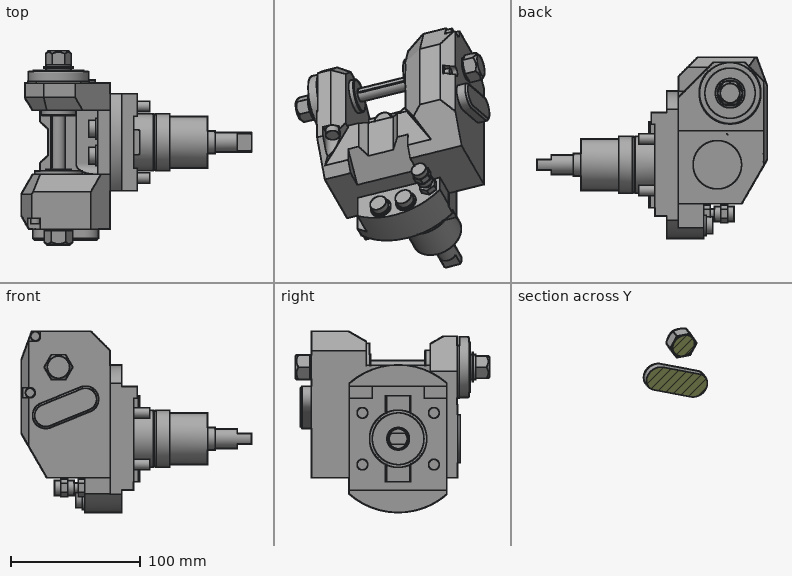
import cadquery as cq
import math


gap_half = 24.5
floor_z = -30.0
bevel_angle = 30.0
bevel_slope = math.tan(math.radians(bevel_angle))
heel_x = -49.0
heel_slope = math.tan(math.radians(60))
mask_reach = 142.4

near_outer = 67.0
near_front = -68.7
near_top = 83.0
near_brow_z = 60.7
near_crown_x = -60.5
near_back_chamfer = 15.0
near_bevel_start = 40.0
near_top_bevel_start = 38.3
near_edge_bevel = 10.3

far_outer = 45.4
far_front = -65.9
far_top = 79.0
far_front_chamfer = 14.6
far_back_run = 27.0
far_bevel_start = 34.7
far_pad_top = 26.3
far_pad_outer = 46.0

wall_x = -9.6
wall_top = 56.6
ledge_x = -26.3
ledge_z = 30.0
nose_x = -54.3
nose_top = ledge_z - (ledge_x - nose_x) * math.tan(math.radians(30))
nose_bottom = -10.0
saddle_fillet = 8.0
notch_depth = 6.2
notch_half_outer = 16.0
notch_half_inner = 10.1
flare_top = 12.3

flange_radius = 57.0
flange_half_width = 37.5
disc_thickness = 9.0
plate_back = 18.2
plate_top = 40.4
plate_bottom = -39.7
pad_back = 21.0
pad_bottom = 31.2
pad_inner = 20.0
foot_front = -19.8
foot_far_side = 29.7
foot_near_side = -38.1
pin_y, pin_z, pin_radius, pin_end = 27.6, 20.0, 4.1, 30.6
key_back, key_half_width, key_half_height, key_chamfer = 22.6, 9.8, 33.3, 0.9

shank_radius = 22.0
groove_start, groove_end, groove_radius, groove_ramp_end = 33.1, 34.0, 21.4, 35.5
shank_shoulder = 46.1
nose_radius, nose_end = 20.0, 75.1
collar_radius, collar_end = 8.7, 81.0
drive_radius, drive_end = 7.7, 109.3
tang_start, tang_half, tang_chamfer = 98.0, 4.1, 0.7

arbor_x, arbor_z, arbor_radius = -39.9, 55.2, 5.2
arbor_key_half, arbor_key_end, arbor_key_face = 1.8, 20.1, -46.0
near_collar_radius, near_collar_y = 18.5, -22.0
near_ring_radius, near_ring_y = 10.0, -21.0
far_bush_radius, far_bush_y, far_bush_chamfer = 13.2, 20.5, 0.7
near_bolt_end, near_bolt_seat, near_bolt_corners = -79.4, -68.2, 22.0
near_bolt_neck_radius = 9.3
far_bolt_end, far_bolt_seat, far_bolt_corners = 70.7, 59.8, 20.0
cap_radius, cap_end, cap_round = 23.5, 54.6, 1.2
cap_face_radius, cap_face_end = 19.4, 55.5
seat_radius, seat_end, seat_top = 23.9, 47.2, 72.0
hub_radius = 9.8
washer_radius, washer_start, washer_end = 11.4, 57.1, 58.0
hex_crown = 2.5

boss_x, boss_z = -34.4, 24.2
boss_pitch, boss_radius, boss_angle = 33.1, 10.1, 22.2
boss_height, boss_edge = 8.5, 1.6
cover_x, cover_radius, cover_outer = -30.0, 18.7, 48.0
bolt_y, bolt_z = 10.3, 46.8
bolt_head_radius, bolt_head_height = 6.5, 5.3
bolt_ring_radius, bolt_ring_height = 8.0, 1.6
pocket_floor, pocket_radius, pocket_head_radius, pocket_head_height = 8.4, 4.0, 3.5, 4.3
pocket_places = [(-57.7, near_top - pocket_radius), (-61.8, 35.5)]
lower_pocket_x, lower_pocket_y, lower_pocket_radius = -60.3, 35.0, 5.9
lower_pocket_roof, lower_head_radius, lower_head_height = 8.4, 5.3, 5.9
fitting_y, fitting_z = -29.2, -38.0


def box(x0, x1, y0, y1, z0, z1):
    return cq.Workplane("XY").box(x1 - x0, y1 - y0, z1 - z0, centered=False).translate((x0, y0, z0))


def rod_x(y, z, radius, x0, x1):
    return cq.Workplane("YZ", origin=(x0, y, z)).circle(radius).extrude(x1 - x0)


def rod_y(x, z, radius, y0, y1):
    return cq.Workplane("XZ", origin=(x, y1, z)).circle(radius).extrude(y1 - y0)


def prism_y(points, y0, y1):
    """Extrude an XZ outline from y0 to y1."""
    return cq.Workplane("XZ", origin=(0, y1, 0)).polyline(points).close().extrude(y1 - y0)


def arm(profile, bevel_outline, bevel_start, outer):
    """Arm on the +Y side; its inner side tapers inward along the bevel outline."""
    taper_depth = bevel_start - gap_half
    tapered = (
        cq.Workplane("XZ", origin=(0, bevel_start, 0))
        .polyline(bevel_outline).close().extrude(taper_depth, taper=bevel_angle)
    )
    inner = prism_y(profile, gap_half, bevel_start).intersect(tapered)
    return inner.union(prism_y(profile, bevel_start, outer))


def heel_z(front):
    return floor_z + (heel_x - front) * heel_slope


def near_arm():
    profile = [
        (near_front, near_brow_z), (near_crown_x, near_top), (-near_back_chamfer, near_top),
        (0, near_top - near_back_chamfer), (0, floor_z), (heel_x, floor_z),
        (near_front, heel_z(near_front)),
    ]
    raised_top = near_top + (near_bevel_start - near_top_bevel_start) * bevel_slope
    brow_slope = (near_crown_x - near_front) / (near_top - near_brow_z)
    raised_crown_x = near_front + (raised_top - near_brow_z) * brow_slope
    bevel_outline = [
        (near_front, near_brow_z), (raised_crown_x, raised_top), (mask_reach, raised_top),
        (mask_reach, -mask_reach), (near_front, -mask_reach),
    ]
    body = arm(profile, bevel_outline, near_bevel_start, near_outer).mirror("XZ")
    edge_bevel = (
        cq.Workplane("XY", origin=(0, 0, -mask_reach))
        .polyline([
            (near_front, -near_outer), (near_front + near_edge_bevel * bevel_slope, -near_outer),
            (near_front, -near_outer + near_edge_bevel),
        ]).close().extrude(2 * mask_reach)
    )
    return body.cut(edge_bevel)


def far_arm():
    front_brow = (far_front, far_top - far_front_chamfer)
    crown = (far_front + far_front_chamfer, far_top)
    profile = [
        front_brow, crown, (-far_back_run, far_top), (0, far_top - far_back_run),
        (0, floor_z), (heel_x, floor_z), (far_front, heel_z(far_front)),
    ]
    bevel_outline = [
        front_brow, crown, (mask_reach, far_top), (mask_reach, -mask_reach), (far_front, -mask_reach),
    ]
    pad_profile = [
        (far_front, far_pad_top), (0, far_pad_top), (0, floor_z), (heel_x, floor_z),
        (far_front, heel_z(far_front)),
    ]
    pad = prism_y(pad_profile, far_outer, far_pad_outer)
    return arm(profile, bevel_outline, far_bevel_start, far_outer).union(pad)


def saddle():
    undercut_run = nose_bottom - floor_z
    block = prism_y(
        [
            (0, wall_top), (wall_x, wall_top), (wall_x, ledge_z), (ledge_x, ledge_z),
            (nose_x, nose_top), (nose_x, nose_bottom), (nose_x + undercut_run, floor_z), (0, floor_z),
        ],
        -gap_half, gap_half,
    )
    fillet_y = -gap_half + saddle_fillet
    fillet_z = ledge_z + saddle_fillet
    trim_run = saddle_fillet / math.tan(math.radians(30))
    fillet = prism_y(
        [(ledge_x, ledge_z), (0, ledge_z), (0, fillet_z), (ledge_x + trim_run, fillet_z)],
        -gap_half, fillet_y,
    ).cut(rod_x(fillet_y, fillet_z, saddle_fillet, ledge_x, wall_x))
    notch = (
        cq.Workplane("XY", origin=(0, 0, -mask_reach))
        .polyline([
            (nose_x, -notch_half_outer), (nose_x + notch_depth, -notch_half_inner),
            (nose_x + notch_depth, notch_half_inner), (nose_x, notch_half_outer),
        ]).close().extrude(2 * mask_reach)
    )
    return block.union(fillet).cut(notch)


def flare():
    """Room in front of the saddle nose, widening downward into both arms."""
    drop = flare_top - floor_z
    bottom_half = gap_half + drop * bevel_slope
    return (
        cq.Workplane("YZ", origin=(-mask_reach, 0, 0))
        .polyline([
            (-gap_half, flare_top), (gap_half, flare_top),
            (bottom_half, floor_z), (-bottom_half, floor_z),
        ]).close().extrude(mask_reach + nose_x)
    )


def flange():
    band = box(0, disc_thickness, -flange_half_width, flange_half_width, -flange_radius, flange_radius)
    disc = rod_x(0, 0, flange_radius, 0, disc_thickness).intersect(band)
    foot_band = box(foot_front, 0, foot_near_side, foot_far_side, -flange_radius, floor_z)
    foot = rod_x(0, 0, flange_radius, foot_front, 0).intersect(foot_band)
    body = disc.union(foot).union(
        box(disc_thickness, plate_back, -flange_half_width, flange_half_width, plate_bottom, plate_top)
    )
    for y0, y1 in ((-flange_half_width, -pad_inner), (pad_inner, flange_half_width)):
        body = body.union(box(plate_back, pad_back, y0, y1, pad_bottom, plate_top))
    for y in (-pin_y, pin_y):
        for z in (-pin_z, pin_z):
            body = body.union(rod_x(y, z, pin_radius, plate_back, pin_end))
    key = box(plate_back, key_back, -key_half_width, key_half_width, -key_half_height, key_half_height)
    return body.union(key.faces(">X").edges("|Z").chamfer(key_chamfer))


def shank():
    turned = (
        cq.Workplane("XY")
        .polyline([
            (0, 0), (0, shank_radius), (groove_start, shank_radius), (groove_start, groove_radius),
            (groove_end, groove_radius), (groove_ramp_end, shank_radius), (shank_shoulder, shank_radius),
            (shank_shoulder, nose_radius), (nose_end, nose_radius), (nose_end, collar_radius),
            (collar_end, collar_radius), (collar_end, drive_radius),
            (drive_end - tang_chamfer, drive_radius), (drive_end, drive_radius - tang_chamfer),
            (drive_end, 0),
        ]).close().revolve(360, (0, 0, 0), (1, 0, 0))
    )
    for z0, z1 in ((-drive_radius, -tang_half), (tang_half, drive_radius)):
        turned = turned.cut(box(tang_start, drive_end, -drive_radius, drive_radius, z0, z1))
    return turned


def arbor_hexagon(corners, y0, y1, crowned_face):
    """Hexagon on the arbor line with its outer corners crowned."""
    radius = corners / 2
    crown = rod_y(arbor_x, arbor_z, radius, y0, y1).faces(crowned_face).edges().chamfer(hex_crown)
    prism = cq.Workplane("XZ", origin=(arbor_x, y1, arbor_z)).polygon(6, corners).extrude(y1 - y0)
    return prism.intersect(crown)


def arbor_line():
    def ring(radius, y0, y1):
        return rod_y(arbor_x, arbor_z, radius, y0, y1)

    key = (
        cq.Workplane("YZ", origin=(arbor_key_face, 0, arbor_z))
        .slot2D(2 * arbor_key_end, 2 * arbor_key_half).extrude(arbor_x - arbor_key_face)
    )
    cap = ring(cap_radius, seat_end, cap_end).faces(">Y").edges().fillet(cap_round)
    seat_above = box(-mask_reach, 0, far_outer, seat_end, seat_top, mask_reach)
    seat = ring(seat_radius, far_outer, seat_end).cut(seat_above)
    bush = ring(far_bush_radius, far_bush_y, gap_half).faces("<Y").edges().chamfer(far_bush_chamfer)
    pieces = [
        key,
        cap,
        seat,
        bush,
        ring(near_collar_radius, -gap_half, near_collar_y),
        ring(near_ring_radius, near_collar_y, near_ring_y),
        ring(cap_face_radius, cap_end, cap_face_end),
        ring(hub_radius, cap_face_end, far_bolt_seat),
        ring(washer_radius, washer_start, washer_end),
        ring(near_bolt_neck_radius, near_bolt_seat, -near_outer),
        arbor_hexagon(far_bolt_corners, far_bolt_seat, far_bolt_end, ">Y"),
        arbor_hexagon(near_bolt_corners, near_bolt_end, near_bolt_seat, "<Y"),
    ]
    line = ring(arbor_radius, -gap_half, gap_half)
    for piece in pieces:
        line = line.union(piece)
    return line


def oblong_boss():
    return (
        cq.Workplane("XZ", origin=(boss_x, -near_outer, boss_z))
        .slot2D(boss_pitch + 2 * boss_radius, 2 * boss_radius, boss_angle).extrude(boss_height)
        .faces("<Y").edges().chamfer(boss_edge)
    )


def flange_bolts():
    """Cap screws on rings: two on the upper wall, two on the foot."""
    bolts = cq.Workplane("XY")
    for seat_x, z in ((wall_x, bolt_z), (foot_front, -bolt_z)):
        ring_x = seat_x - bolt_ring_height
        for y in (-bolt_y, bolt_y):
            bolts = bolts.union(rod_x(y, z, bolt_ring_radius, ring_x, seat_x))
            bolts = bolts.union(rod_x(y, z, bolt_head_radius, ring_x - bolt_head_height, ring_x))
    return bolts


def hose_fitting():
    """Coolant fitting on the foot: stepped rod with two hexagons, a corner pointing up."""
    hex_corners = 13.9
    barrel_radius, barrel_start, barrel_end = 5.9, -43.0, -27.8
    neck_radius = 4.0
    grip_start, grip_end = -38.3, -32.5
    base_start = -24.7

    def hexagon(x0, x1):
        return (
            cq.Workplane("YZ", origin=(x0, fitting_y, fitting_z))
            .transformed(rotate=(0, 0, 90)).polygon(6, hex_corners).extrude(x1 - x0)
        )

    barrel = rod_x(fitting_y, fitting_z, barrel_radius, barrel_start, barrel_end)
    neck = rod_x(fitting_y, fitting_z, neck_radius, barrel_end, base_start)
    return barrel.union(neck).union(hexagon(grip_start, grip_end)).union(hexagon(base_start, foot_front))


def cut_near_pockets(body):
    """Screw pockets in the near arm, open toward the front; the upper one also opens upward."""
    floor_y = -near_outer + pocket_floor
    for x, z in pocket_places:
        bottom = z - pocket_radius
        top = z + pocket_radius
        body = body.cut(rod_y(x, z, pocket_radius, -near_outer, floor_y))
        body = body.cut(box(-mask_reach, x, -near_outer, floor_y, bottom, top))
        if top >= near_top:
            body = body.cut(box(x, x + pocket_radius, -near_outer, floor_y, z, top))
        body = body.union(rod_y(x, z, pocket_head_radius, floor_y - pocket_head_height, floor_y))
    return body


def cut_lower_pocket(body):
    """Screw pocket in the far arm, open to the front and downward, with the head at its roof."""
    x, y, radius = lower_pocket_x, lower_pocket_y, lower_pocket_radius
    height = lower_pocket_roof - floor_z
    bore = cq.Workplane("XY", origin=(x, y, floor_z)).circle(radius).extrude(height)
    mouth = box(-mask_reach, x, y - radius, y + radius, floor_z, lower_pocket_roof)
    head = (
        cq.Workplane("XY", origin=(x, y, lower_pocket_roof - lower_head_height))
        .circle(lower_head_radius).extrude(lower_head_height)
    )
    return body.cut(bore).cut(mouth).union(head)


housing = near_arm().union(far_arm()).union(saddle())
housing = cut_lower_pocket(cut_near_pockets(housing)).cut(flare())
cover = rod_y(cover_x, 0, cover_radius, far_pad_outer, cover_outer)

result = housing
for item in (flange(), shank(), arbor_line(), oblong_boss(), cover, flange_bolts(), hose_fitting()):
    result = result.union(item)